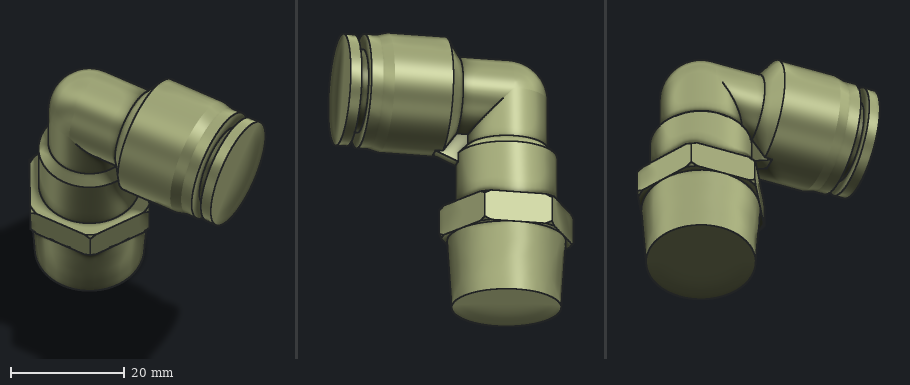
import cadquery as cq
import math

overall_height = 49.4
overall_length = 42.2
collar_diameter = 21.3
outlet_height = overall_height - collar_diameter / 2
elbow_diameter = 14.55
elbow_radius = elbow_diameter / 2

thread_bottom_diameter = 19.35
thread_top_diameter = 21.0
thread_length = 12.45
body_diameter = 18.0
body_top = 28.0
body_shoulder = (body_diameter - elbow_diameter) / 2

hex_across_flats = 21.0
hex_across_corners = hex_across_flats / math.cos(math.radians(30))
hex_height = 5.55
hex_corner_chamfer = 0.55

collar_rim_diameter = 20.3
groove_diameter = 14.7
release_ring_diameter = 19.8
neck_end = 9.25
collar_start = 11.7
collar_taper_start = 22.3
collar_rim_start = 24.2
collar_end = 26.35
release_ring_start = 28.05
outlet_end = overall_length - hex_across_corners / 2

rib_thickness = 2.45
rib_stem_height = 26.4
rib_collar_reach = 13.05
rib_collar_height = outlet_height - collar_diameter / 2


def make_stem():
    """Tapered thread, body and vertical elbow leg, revolved about Z."""
    outline = [
        (0, 0),
        (thread_bottom_diameter / 2, 0),
        (thread_top_diameter / 2, thread_length),
        (body_diameter / 2, thread_length),
        (body_diameter / 2, body_top),
        (elbow_radius, body_top + body_shoulder),
        (elbow_radius, outlet_height),
        (0, outlet_height),
    ]
    return cq.Workplane("XZ").polyline(outline).close().revolve(360, (0, 0), (0, 1))


def make_hexagon():
    """Hexagon with corners on the X axis, its corners cut by a chamfered disc."""
    prism = (
        cq.Workplane("XY")
        .workplane(offset=thread_length)
        .polygon(6, hex_across_corners)
        .extrude(hex_height)
    )
    corner_cutter = (
        cq.Workplane("XY")
        .workplane(offset=thread_length)
        .circle(hex_across_corners / 2)
        .extrude(hex_height)
        .edges()
        .chamfer(hex_corner_chamfer)
    )
    return prism.intersect(corner_cutter)


def make_outlet():
    """Horizontal elbow leg, collar, groove and release ring, revolved about the outlet axis."""
    outline = [
        (0, 0),
        (0, elbow_radius),
        (neck_end, elbow_radius),
        (collar_start, collar_diameter / 2),
        (collar_taper_start, collar_diameter / 2),
        (collar_rim_start, collar_rim_diameter / 2),
        (collar_end, collar_rim_diameter / 2),
        (collar_end, groove_diameter / 2),
        (release_ring_start, groove_diameter / 2),
        (release_ring_start, release_ring_diameter / 2),
        (outlet_end, release_ring_diameter / 2),
        (outlet_end, 0),
    ]
    profile = cq.Workplane("XZ", origin=(0, 0, outlet_height)).polyline(outline).close()
    return profile.revolve(360, (0, 0), (1, 0))


def make_rib():
    """Flat rib centred on the plane of both axes, buried in the stem and the outlet."""
    outline = [
        (0, rib_stem_height),
        (body_diameter / 2, rib_stem_height),
        (rib_collar_reach, rib_collar_height),
        (rib_collar_reach, outlet_height),
        (0, outlet_height),
    ]
    return cq.Workplane("XZ").polyline(outline).close().extrude(rib_thickness / 2, both=True)


elbow_ball = cq.Workplane("XY").sphere(elbow_radius).translate((0, 0, outlet_height))

result = make_stem().union(make_hexagon()).union(make_outlet()).union(elbow_ball).union(make_rib())